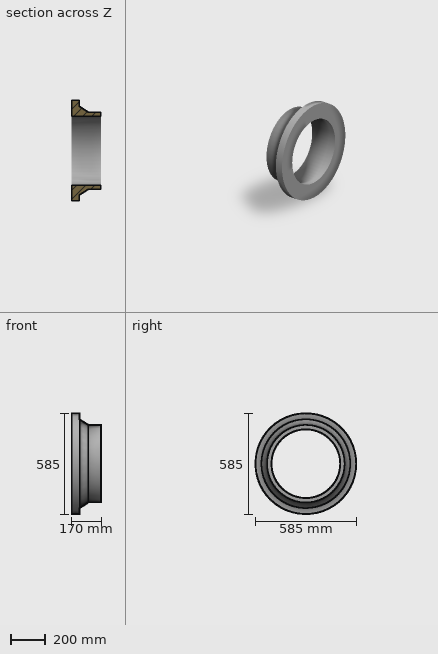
import cadquery as cq

flange_diameter = 585.0
flange_thickness = 45.5
taper_base_diameter = 515.0
neck_diameter = 449.0
neck_length = 74.0
bore_diameter = 396.5
total_length = 170.0

flange_radius = flange_diameter / 2
taper_base_radius = taper_base_diameter / 2
neck_radius = neck_diameter / 2
bore_radius = bore_diameter / 2
neck_start = total_length - neck_length

half_section = (
    cq.Workplane("XY")
    .moveTo(0, bore_radius)
    .lineTo(0, flange_radius)
    .lineTo(flange_thickness, flange_radius)
    .lineTo(flange_thickness, taper_base_radius)
    .lineTo(neck_start, neck_radius)
    .lineTo(total_length, neck_radius)
    .lineTo(total_length, bore_radius)
    .close()
)

result = half_section.revolve(360, (0, 0, 0), (1, 0, 0))